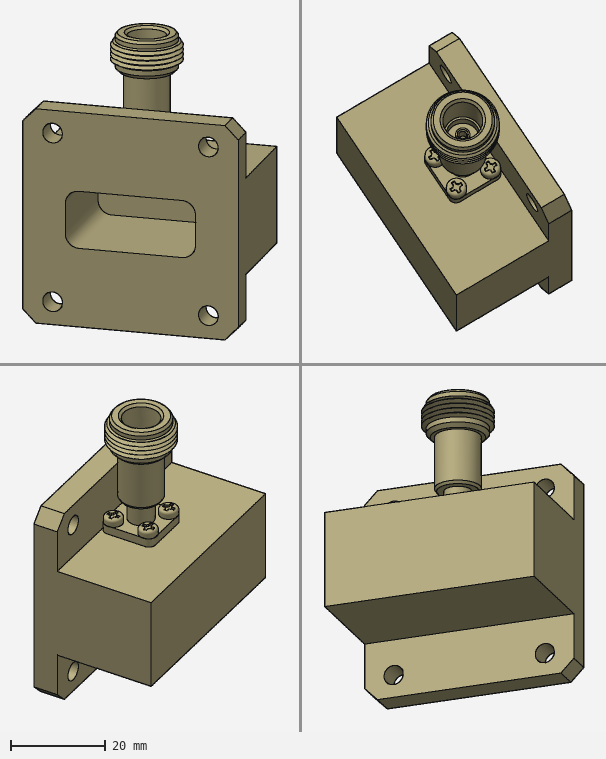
import cadquery as cq
import math


plate_size = 47.6
plate_thickness = 5.8
plate_corner = 2.95
plate_mid_z = plate_size / 2
housing_depth = 28.85
block_height = 21.45
block_top_z = plate_mid_z + block_height / 2
cavity_width = 28.75
cavity_height = 12.7
cavity_corner_radius = 3.0
cavity_wall = (block_height - cavity_height) / 2
cavity_depth = housing_depth - cavity_wall
mount_hole_dia = 4.3
mount_hole_span_x = 34.4
mount_hole_span_z = 37.45

connector_top_z = 62.75
connector_y = 12.3
base_size = 12.6
base_thickness = 2.1
base_corner_radius = 1.6
base_top_z = block_top_z + base_thickness
neck_dia = 6.0
barrel_dia = 10.0
barrel_bottom_z = 42.0
barrel_chamfer = 0.45
barrel_chamfer_height = 0.6
collar_dia = 13.5
collar_bottom_z = 54.3
collar_bottom_chamfer = 0.9
rim_chamfer = 0.5
rim_chamfer_height = 0.6
thread_dia = 15.5
thread_pitch = 1.05
thread_crests = 4
thread_flank = thread_pitch / 2
thread_lowest_crest_z = 56.85
runout_dia = 14.55
runout_z = 60.85
runout_rise = 0.25
bore_dia = 8.4
bore_floor_dia = 8.0
bore_mouth_dia = 9.6
bore_depth = 8.8
bore_chamfer = (bore_mouth_dia - bore_dia) / 2
inner_bore_dia = 7.0
inner_bore_depth = 11.3

contact_dia = 3.0
contact_top_z = connector_top_z - bore_depth
socket_dia = 1.7
socket_mouth_dia = 2.3
socket_depth = 3.15
socket_tip_angle = 118.0

screw_offset = 4.25
head_dia = 4.3
head_height = 1.7
head_fillet = 0.6
recess_length = 2.7
recess_width = 0.7
recess_core_dia = 1.5
recess_depth = 0.5
shank_dia = 2.7
shank_engagement = 3.15
shank_length = base_thickness + shank_engagement
screw_places = [
    (side_x * screw_offset, connector_y + side_y * screw_offset)
    for side_x in (-1, 1)
    for side_y in (-1, 1)
]


def upright_cylinder(diameter, bottom_z, top_z, x=0.0, y=connector_y):
    return cq.Workplane("XY", origin=(x, y, bottom_z)).circle(diameter / 2).extrude(top_z - bottom_z)


def upright_revolve(profile, x=0.0, y=connector_y):
    """Turn a closed (radius, Z) outline about the vertical axis through (x, y)."""
    outline = cq.Workplane("XZ", origin=(x, y, 0)).polyline(profile).close()
    return outline.revolve(360, (0, 0, 0), (0, 1, 0))


def front_sketch():
    """Workplane on the mating face; extruding by a negative length goes into the housing."""
    return cq.Workplane("XZ", origin=(0, 0, plate_mid_z))


def make_housing():
    plate = front_sketch().rect(plate_size, plate_size).extrude(-plate_thickness)
    plate = plate.edges("|Y").chamfer(plate_corner)
    block = front_sketch().rect(plate_size, block_height).extrude(-housing_depth)
    cavity = front_sketch().rect(cavity_width, cavity_height).extrude(-cavity_depth)
    cavity = cavity.edges("|Y").fillet(cavity_corner_radius)
    mount_holes = (
        front_sketch()
        .rect(mount_hole_span_x, mount_hole_span_z, forConstruction=True)
        .vertices()
        .circle(mount_hole_dia / 2)
        .extrude(-plate_thickness)
    )
    housing = plate.union(block).cut(cavity).cut(mount_holes)
    for x, y in screw_places:
        housing = housing.cut(upright_cylinder(shank_dia, base_top_z - shank_length, base_top_z, x, y))
    return housing


def connector_outline():
    """Outer (radius, Z) outline from the base top up to the rim, with ring-shaped thread ridges."""
    neck_radius = neck_dia / 2
    barrel_radius = barrel_dia / 2
    collar_radius = collar_dia / 2
    outline = [
        (0, base_top_z),
        (neck_radius, base_top_z),
        (neck_radius, barrel_bottom_z),
        (barrel_radius - barrel_chamfer, barrel_bottom_z),
        (barrel_radius, barrel_bottom_z + barrel_chamfer_height),
        (barrel_radius, collar_bottom_z),
        (collar_radius - collar_bottom_chamfer, collar_bottom_z),
        (collar_radius, collar_bottom_z + collar_bottom_chamfer),
        (collar_radius, thread_lowest_crest_z - thread_flank),
    ]
    for ridge in range(thread_crests):
        crest_z = thread_lowest_crest_z + ridge * thread_pitch
        outline.append((thread_dia / 2, crest_z))
        outline.append((collar_radius, crest_z + thread_flank))
    outline += [
        (runout_dia / 2, runout_z),
        (collar_radius, runout_z + runout_rise),
        (collar_radius, connector_top_z - rim_chamfer_height),
        (collar_radius - rim_chamfer, connector_top_z),
        (0, connector_top_z),
    ]
    return outline


def make_connector():
    base = cq.Workplane("XY", origin=(0, connector_y, block_top_z)).rect(base_size, base_size)
    base = base.extrude(base_thickness).edges("|Z").fillet(base_corner_radius)
    bore_floor_z = connector_top_z - bore_depth
    inner_floor_z = connector_top_z - inner_bore_depth
    bore = upright_revolve([
        (0, inner_floor_z),
        (inner_bore_dia / 2, inner_floor_z),
        (inner_bore_dia / 2, bore_floor_z),
        (bore_floor_dia / 2, bore_floor_z),
        (bore_dia / 2, connector_top_z - bore_chamfer),
        (bore_mouth_dia / 2, connector_top_z),
        (0, connector_top_z),
    ])
    contact_hole = upright_cylinder(contact_dia, block_top_z, connector_top_z)
    connector = base.union(upright_revolve(connector_outline())).cut(bore).cut(contact_hole)
    for x, y in screw_places:
        connector = connector.cut(upright_cylinder(shank_dia, block_top_z, base_top_z, x, y))
    return connector


def make_contact():
    socket_radius = socket_dia / 2
    mouth_chamfer = (socket_mouth_dia - socket_dia) / 2
    socket_floor_z = contact_top_z - socket_depth
    tip_height = socket_radius / math.tan(math.radians(socket_tip_angle / 2))
    return upright_revolve([
        (0, block_top_z),
        (contact_dia / 2, block_top_z),
        (contact_dia / 2, contact_top_z),
        (socket_mouth_dia / 2, contact_top_z),
        (socket_radius, contact_top_z - mouth_chamfer),
        (socket_radius, socket_floor_z),
        (0, socket_floor_z - tip_height),
    ])


def make_screw(x, y):
    """Round-topped screw with a cross recess, its axis at (x, y)."""
    head_top_z = base_top_z + head_height
    head_radius = head_dia / 2
    screw = upright_revolve([
        (0, base_top_z - shank_length),
        (shank_dia / 2, base_top_z - shank_length),
        (shank_dia / 2, base_top_z),
        (head_radius, base_top_z),
        (head_radius, head_top_z),
        (0, head_top_z),
    ], x, y)
    screw = screw.faces(">Z").edges().fillet(head_fillet)
    head_top = cq.Workplane("XY", origin=(x, y, head_top_z))
    slot_x = head_top.rect(recess_length, recess_width).extrude(-recess_depth)
    slot_y = head_top.rect(recess_width, recess_length).extrude(-recess_depth)
    core = head_top.circle(recess_core_dia / 2).extrude(-recess_depth)
    return screw.cut(slot_x).cut(slot_y).cut(core)


housing = make_housing()
connector = make_connector()
contact = make_contact()
screws = [make_screw(x, y) for x, y in screw_places]

result = cq.Compound.makeCompound([
    housing.val(),
    connector.val(),
    contact.val(),
    *[screw.val() for screw in screws],
])